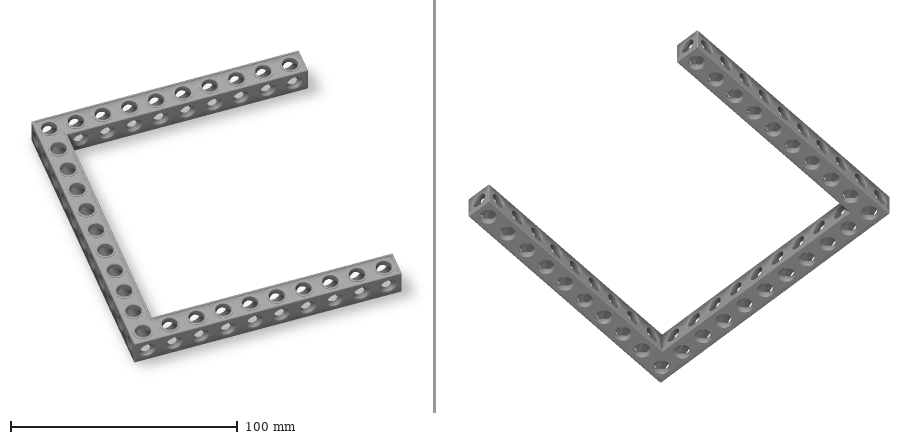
import cadquery as cq

LENGTH = 137.5
CELLS_X = 11
CELLS_Y = 10
BEAM = LENGTH / CELLS_X
DEPTH = CELLS_Y * BEAM

HOLE_RADIUS = 7.0 / 2
CHAMFER = 0.3

LIP_RADIUS = 9.2 / 2
LIP_WIDTH = LIP_RADIUS - HOLE_RADIUS
RECESS_DEPTH = 0.3
BRIDGE_WIDTH = 0.5

HOLES_X = [(i + 0.5) * BEAM for i in range(CELLS_X)]
HOLES_Y = [(j + 0.5) * BEAM for j in range(CELLS_Y)]
MID = BEAM / 2
ARM_HOLES_X = (HOLES_X[0], HOLES_X[-1])
VERTICAL_CENTRES = [(x, HOLES_Y[0]) for x in HOLES_X]
VERTICAL_CENTRES += [(x, y) for x in ARM_HOLES_X for y in HOLES_Y[1:]]


def u_prism(inset, bottom, top):
    """U-shaped slab open toward +Y, its outline moved inward by inset."""
    left, right = inset, LENGTH - inset
    front, back = inset, DEPTH - inset
    inner_left, inner_right = BEAM - inset, LENGTH - BEAM + inset
    inner_front = BEAM - inset
    outline = [
        (left, front),
        (right, front),
        (right, back),
        (inner_right, back),
        (inner_right, inner_front),
        (inner_left, inner_front),
        (inner_left, back),
        (left, back),
    ]
    return cq.Workplane("XY", origin=(0, 0, bottom)).polyline(outline).close().extrude(top - bottom)


def make_frame():
    """Frame of three square beams, chamfered everywhere but in the two inner corners."""
    inner_corners = cq.selectors.BoxSelector(
        (MID, MID, MID / 2),
        (LENGTH - MID, BEAM + MID, BEAM - MID / 2),
    )
    chamfered = cq.selectors.InverseSelector(inner_corners)
    return u_prism(0, 0, BEAM).edges(chamfered).chamfer(CHAMFER)


def make_top_recess():
    """Shallow recess that leaves the edge lips, the hole lips and one bridge standing."""
    floor = BEAM - RECESS_DEPTH
    recess = u_prism(LIP_WIDTH, floor, BEAM)
    lips = (
        cq.Workplane("XY", origin=(0, 0, floor))
        .pushPoints(VERTICAL_CENTRES)
        .circle(LIP_RADIUS)
        .extrude(RECESS_DEPTH)
    )
    bridge = (
        cq.Workplane("XY", origin=(0, 0, floor))
        .center((HOLES_X[-2] + HOLES_X[-1]) / 2, HOLES_Y[0])
        .rect(BEAM, BRIDGE_WIDTH)
        .extrude(RECESS_DEPTH)
    )
    return recess.cut(lips).cut(bridge)


def hole_along_z(length):
    """Cutter standing on the origin for a hole with both mouths chamfered."""
    mouth_radius = HOLE_RADIUS + CHAMFER
    half_section = [
        (0, 0),
        (mouth_radius, 0),
        (HOLE_RADIUS, CHAMFER),
        (HOLE_RADIUS, length - CHAMFER),
        (mouth_radius, length),
        (0, length),
    ]
    return cq.Workplane("XZ").polyline(half_section).close().revolve(360, (0, 0, 0), (0, 1, 0))


def hole_along_x(length):
    return hole_along_z(length).rotate((0, 0, 0), (0, 1, 0), 90)


def hole_along_y(length):
    return hole_along_z(length).rotate((0, 0, 0), (1, 0, 0), -90)


result = make_frame().cut(make_top_recess())

for x, y in VERTICAL_CENTRES:
    result = result.cut(hole_along_z(BEAM).translate((x, y, 0)))

for y in HOLES_Y[1:]:
    for arm_left in (0, LENGTH - BEAM):
        result = result.cut(hole_along_x(BEAM).translate((arm_left, y, MID)))
result = result.cut(hole_along_x(LENGTH).translate((0, HOLES_Y[0], MID)))

for x in HOLES_X[1:-1]:
    result = result.cut(hole_along_y(BEAM).translate((x, 0, MID)))
for x in ARM_HOLES_X:
    result = result.cut(hole_along_y(DEPTH).translate((x, 0, MID)))